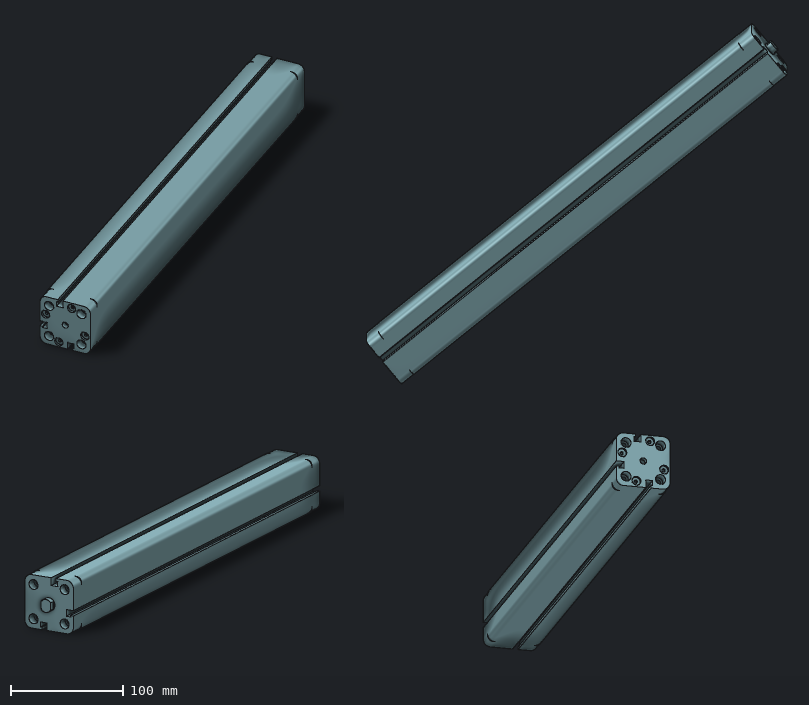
import cadquery as cq

overall_length = 450.5
width = 50.0
half_width = width / 2

rod_length = 6.0
front_cap_length = 14.0
rear_cap_length = 15.0
front_y = -overall_length / 2
rear_y = overall_length / 2 - rod_length
tube_front_y = front_y + front_cap_length
tube_rear_y = rear_y - rear_cap_length

cap_corner_radius = 6.8
tube_corner_radius = 5.5

slot_inner_wall = 2.3
slot_mouth_width = 5.0
slot_undercut = 1.5
slot_depth = 7.0
slot_lip = 2.5
slot_angles = (0, 90, 180)

corner_spacing = 32.0
corner_offset = corner_spacing / 2
through_diameter = 5.0
counterbore_diameter = 9.0
counterbore_depth = 9.0

screw_across = 6.5
screw_out = 19.5
screw_pocket_diameter = 8.0
screw_pocket_depth = 2.3
socket_corner_diameter = 3.0
socket_depth = 2.3
screw_angles = (0, 90, 180, 270)

centre_diameter = 6.0
centre_depth = 5.5

rod_diameter = 12.0
flat_width = 10.0
flat_length = 4.0


def plane_at(y):
    """Plane across the axis whose local axes are X and Z; it extrudes toward -Y."""
    return cq.Workplane("XZ", origin=(0, y, 0))


def rounded_bar(y_start, y_end, corner_radius):
    bar = plane_at(y_end).rect(width, width).extrude(y_end - y_start)
    return bar.edges("|Y").fillet(corner_radius)


def cylinder(x, z, diameter, y_start, y_end):
    return plane_at(y_end).center(x, z).circle(diameter / 2).extrude(y_end - y_start)


def about_axis(shape, angle):
    """Turn a shape about the cylinder axis, from +Z toward -X."""
    return shape.rotate((0, 0, 0), (0, 1, 0), -angle)


def sensor_slot():
    inner = -slot_inner_wall
    mouth = inner - slot_mouth_width
    undercut = mouth - slot_undercut
    floor = half_width - slot_depth
    lip = half_width - slot_lip
    outline = [
        (inner, half_width),
        (inner, floor),
        (undercut, floor),
        (undercut, lip),
        (mouth, lip),
        (mouth, half_width),
    ]
    return plane_at(rear_y).polyline(outline).close().extrude(rear_y - front_y)


def cap_screw_recess():
    pocket_floor_y = front_y + screw_pocket_depth
    socket_floor_y = pocket_floor_y + socket_depth
    pocket = cylinder(screw_across, screw_out, screw_pocket_diameter, front_y, pocket_floor_y)
    socket = plane_at(socket_floor_y).center(screw_across, screw_out)
    socket = socket.polygon(6, socket_corner_diameter).extrude(socket_depth)
    return pocket.union(socket)


def mounting_hole(x, z):
    through = cylinder(x, z, through_diameter, front_y, rear_y)
    front_bore = cylinder(x, z, counterbore_diameter, front_y, front_y + counterbore_depth)
    rear_bore = cylinder(x, z, counterbore_diameter, rear_y - counterbore_depth, rear_y)
    return through.union(front_bore).union(rear_bore)


def piston_rod():
    tip_y = rear_y + rod_length
    rod = cylinder(0, 0, rod_diameter, rear_y, tip_y)
    flats = plane_at(tip_y).rect(flat_width, rod_diameter).extrude(flat_length)
    shank = plane_at(tip_y - flat_length).rect(rod_diameter, rod_diameter).extrude(rod_length - flat_length)
    return rod.intersect(flats.union(shank))


body = rounded_bar(front_y, tube_front_y, cap_corner_radius)
body = body.union(rounded_bar(tube_front_y, tube_rear_y, tube_corner_radius))
body = body.union(rounded_bar(tube_rear_y, rear_y, cap_corner_radius))

for angle in slot_angles:
    body = body.cut(about_axis(sensor_slot(), angle))

for x in (-corner_offset, corner_offset):
    for z in (-corner_offset, corner_offset):
        body = body.cut(mounting_hole(x, z))

for angle in screw_angles:
    body = body.cut(about_axis(cap_screw_recess(), angle))

body = body.cut(cylinder(0, 0, centre_diameter, front_y, front_y + centre_depth))

result = body.union(piston_rod())